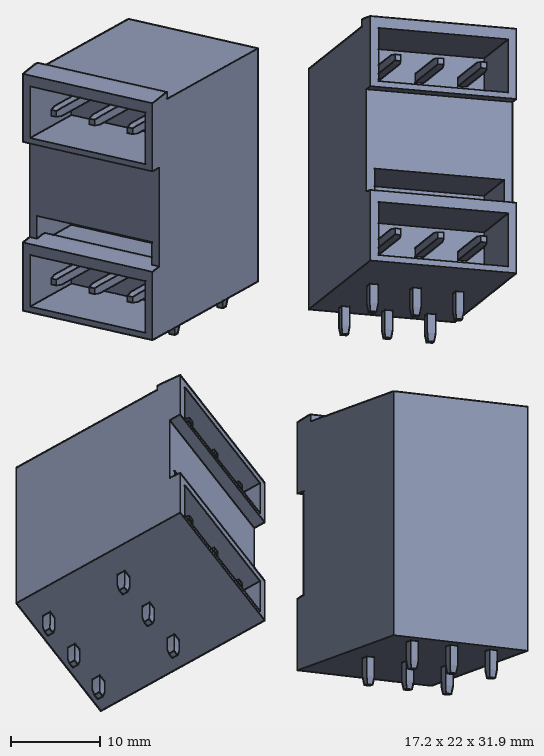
import cadquery as cq


total_height = 31.88
housing_width = 17.25
housing_depth = 22.0

level_count = 2
level_spacing = 20.2

housing_bottom = 3.12
housing_top = 31.08
lip_depth = 3.1
lip_flat = 0.57
lip_drop = 0.35
waist_depth = 1.4
waist_top = 23.37

cavity_width = 15.3
cavity_bottom = 24.05
cavity_height = 6.2
cavity_depth = 8.6
slot_top = 14.25

pins_per_row = 3
pin_pitch = 5.07
pin_size = 1.0
pin_tip_size = 0.7
pin_tip_length = 0.92
pin_front = 0.9
upper_pin_height = 27.23
lower_leg_place = 9.95
leg_spacing = 10.0

lip_slope_depth = lip_depth - lip_flat
lip_front_height = total_height - lip_drop
lower_lip_top = total_height - level_spacing
lower_lip_front_height = lip_front_height - level_spacing
waist_bottom = lower_lip_front_height + lip_drop * waist_depth / lip_slope_depth
slot_floor = housing_top - level_spacing


def extrude_side_outline(points, width):
    """Extrude a (Y, Z) outline along X, centred on X = 0."""
    return cq.Workplane("YZ").polyline(points).close().extrude(width / 2, both=True)


def make_housing_block():
    """Solid block with the upper lip and the set-back waist."""
    outline = [
        (0, housing_bottom),
        (housing_depth, housing_bottom),
        (housing_depth, housing_top),
        (lip_depth, housing_top),
        (lip_depth, total_height),
        (lip_slope_depth, total_height),
        (0, lip_front_height),
        (0, waist_top),
        (waist_depth, waist_top),
        (waist_depth, waist_bottom),
        (0, lower_lip_front_height),
    ]
    return extrude_side_outline(outline, housing_width)


def make_cavity(bottom):
    """Rectangular plug opening, cut back from the front face."""
    return cq.Workplane("XY").box(
        cavity_width, cavity_depth, cavity_height, centered=(True, False, False)
    ).translate((0, 0, bottom))


def make_latch_slot():
    """Slot above the lower lip; its floor follows the lip and drops behind it."""
    outline = [
        (waist_depth, slot_top),
        (waist_depth, waist_bottom),
        (lip_slope_depth, lower_lip_top),
        (lip_depth, lower_lip_top),
        (lip_depth, slot_floor),
        (cavity_depth, slot_floor),
        (cavity_depth, slot_top),
    ]
    return extrude_side_outline(outline, cavity_width)


def make_tip(workplane):
    """Square tip that narrows along the normal of the workplane."""
    return (
        workplane.rect(pin_size, pin_size)
        .workplane(offset=pin_tip_length)
        .rect(pin_tip_size, pin_tip_size)
        .loft(ruled=True)
    )


def make_pin(x, height, leg_place):
    """Bent square pin: a contact arm along Y and a solder leg down along Z."""
    half = pin_size / 2
    arm_start = pin_front + pin_tip_length
    bend = [
        (arm_start, height - half),
        (arm_start, height + half),
        (leg_place + half, height + half),
        (leg_place + half, pin_tip_length),
        (leg_place - half, pin_tip_length),
        (leg_place - half, height - half),
    ]
    nose = make_tip(cq.Workplane("XZ", origin=(0, arm_start, height)))
    leg_end = cq.Plane(origin=(0, leg_place, pin_tip_length), xDir=(1, 0, 0), normal=(0, 0, -1))
    leg_tip = make_tip(cq.Workplane(leg_end))
    pin = extrude_side_outline(bend, pin_size).union(nose).union(leg_tip)
    return pin.translate((x, 0, 0))


pins = []
for row in range(level_count):
    row_height = upper_pin_height - level_spacing * row
    row_leg_place = lower_leg_place + leg_spacing * (level_count - 1 - row)
    for column in range(pins_per_row):
        pin_x = (column - (pins_per_row - 1) / 2) * pin_pitch
        pins.append(make_pin(pin_x, row_height, row_leg_place))

housing = make_housing_block().cut(make_latch_slot())
for level in range(level_count):
    housing = housing.cut(make_cavity(cavity_bottom - level_spacing * level))
for pin in pins:
    housing = housing.cut(pin)

result = cq.Compound.makeCompound([housing.solids().val(), *[pin.solids().val() for pin in pins]])